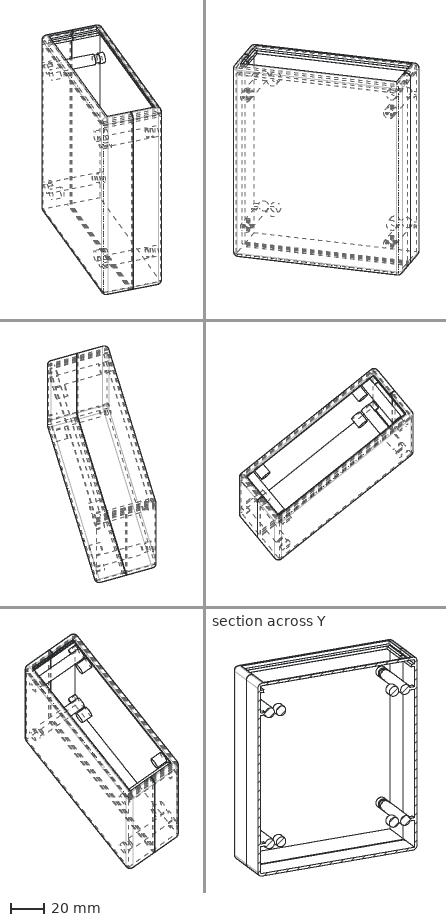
import cadquery as cq

width = 106.0
height = 124.0
joint_gap = 0.3
half_depth = 19.0
depth = 2 * half_depth + joint_gap
edge_radius = 3.0
side_wall = 2.0
face_wall = 1.0
floor_wall = 2.0

rim_wall = 4.0
lip_height = 2.0
groove_height = 2.5
rib_height = 1.8
rib_face_wall = 1.2

tongue_length = 1.0
rebate_length = 2.0
tongue_thickness = 1.0

post_x = 45.0
post_z = 42.0
post_radius = 3.25
pin_radius = 2.5
shoulder_y = 12.0
seat_end_y = 15.0
boss_x = 37.5
boss_end_y = -11.15
web_thickness = 2.0
web_end_y = -13.15

top_z = height / 2
lip_bottom = top_z - lip_height
rib_top = lip_bottom - groove_height
rib_bottom = rib_top - rib_height
floor_top = -top_z + floor_wall
inner_x = width / 2 - side_wall
inner_y = depth / 2 - face_wall
back_split_y = joint_gap / 2
front_split_y = -back_split_y


def block(x0, x1, y0, y1, z0, z1):
    """Box between the given limits."""
    box = cq.Workplane("XY").box(x1 - x0, y1 - y0, z1 - z0, centered=False)
    return box.translate((x0, y0, z0))


def opening(x_wall, y_wall, z0, z1):
    """Centred block of empty space, leaving the given wall thicknesses beside it."""
    x = width / 2 - x_wall
    y = depth / 2 - y_wall
    return block(-x, x, -y, y, z0, z1)


def rod(x, z, radius, y0, y1):
    """Round bar along Y."""
    return cq.Workplane("XZ", origin=(x, y0, z)).circle(radius).extrude(y0 - y1)


def make_shell():
    """Whole hollow enclosure, rounded outside and open at the top, before it is split."""
    shell = cq.Workplane("XY").box(width, depth, height).edges().fillet(edge_radius)
    shell = shell.cut(opening(side_wall, face_wall, floor_top, rib_bottom))
    shell = shell.cut(opening(rim_wall, rib_face_wall, rib_bottom, rib_top))
    shell = shell.cut(opening(side_wall, face_wall, rib_top, lip_bottom))
    return shell.cut(opening(rim_wall, rim_wall, lip_bottom, top_z))


def web(side, z, y0, y1):
    """Plate that ties a post to the nearer side wall."""
    x0, x1 = sorted((side * post_x, side * inner_x))
    return block(x0, x1, y0, y1, z - web_thickness / 2, z + web_thickness / 2)


def floor_lap(length):
    """Upper layer of the floor, reaching from the back half into the front half by the given length."""
    return block(
        -inner_x,
        inner_x,
        front_split_y - length,
        back_split_y,
        floor_top - tongue_thickness,
        floor_top,
    )


def make_front_half():
    half = make_shell().intersect(block(-width, width, -depth, front_split_y, -height, height))
    half = half.cut(floor_lap(rebate_length))
    for side in (-1, 1):
        for z in (-post_z, post_z):
            half = half.union(rod(side * post_x, z, post_radius, -inner_y, shoulder_y))
            half = half.union(rod(side * post_x, z, pin_radius, shoulder_y, seat_end_y))
            half = half.union(web(side, z, -inner_y, web_end_y))
            half = half.union(rod(side * boss_x, z, post_radius, -inner_y, boss_end_y))
    return half


def make_back_half():
    half = make_shell().intersect(block(-width, width, back_split_y, depth, -height, height))
    half = half.union(floor_lap(tongue_length))
    for side in (-1, 1):
        for z in (-post_z, post_z):
            half = half.union(rod(side * post_x, z, post_radius, seat_end_y, inner_y))
    return half


front_half = make_front_half()
back_half = make_back_half()
result = cq.Compound.makeCompound([front_half.val(), back_half.val()])